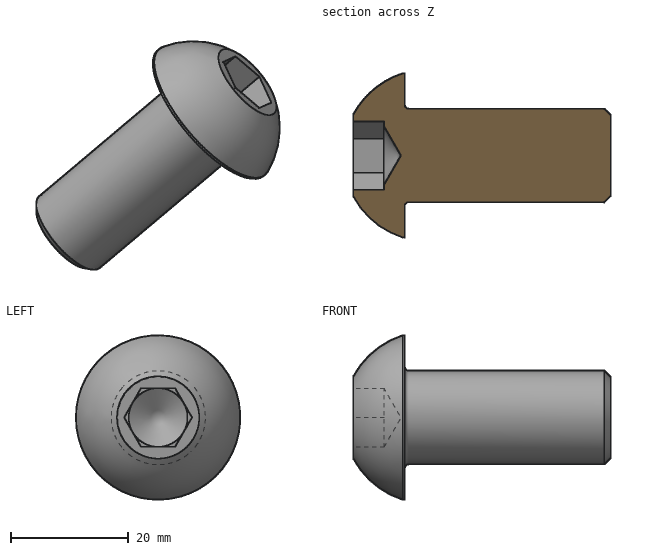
import cadquery as cq
import math

shank_diameter = 16.0
shank_length = 35.0
tip_diameter = 13.835
head_diameter = 28.0
head_height = 8.8
head_face_diameter = 14.0
rim_thickness = 0.4
underhead_fillet = 0.6
socket_across_flats = 10.0
socket_depth = 5.2
socket_cone_angle = 120.0

shank_radius = shank_diameter / 2
head_radius = head_diameter / 2
tip_radius = tip_diameter / 2
tip_chamfer = shank_radius - tip_radius
face_radius = head_face_diameter / 2
face_x = -head_height
rim_x = -rim_thickness

dome_length = head_height - rim_thickness
dome_center_offset = (dome_length**2 + head_radius**2 - face_radius**2) / (2 * dome_length)
dome_radius = math.hypot(dome_center_offset, face_radius)


def dome_radius_at(distance_from_face):
    """Radius of the dome's cross-section at a distance behind the head face."""
    return math.sqrt(dome_radius**2 - (dome_center_offset - distance_from_face) ** 2)


def make_body():
    """Head and shank, revolved about the X axis."""
    dome_mid = dome_length / 2
    fillet_mid = underhead_fillet * (1 - math.sqrt(0.5))
    profile = (
        cq.Workplane("XY")
        .moveTo(face_x, 0)
        .lineTo(face_x, face_radius)
        .threePointArc((face_x + dome_mid, dome_radius_at(dome_mid)), (rim_x, head_radius))
        .lineTo(0, head_radius)
        .lineTo(0, shank_radius + underhead_fillet)
        .threePointArc((fillet_mid, shank_radius + fillet_mid), (underhead_fillet, shank_radius))
        .lineTo(shank_length - tip_chamfer, shank_radius)
        .lineTo(shank_length, tip_radius)
        .lineTo(shank_length, 0)
        .close()
    )
    return profile.revolve(360, (0, 0, 0), (1, 0, 0))


def make_socket():
    """Hexagonal recess with corners on +Y and -Y, ending in a conical drill point."""
    across_corners = socket_across_flats / math.cos(math.radians(30))
    hexagon = (
        cq.Workplane("YZ", origin=(face_x, 0, 0))
        .polygon(6, across_corners)
        .extrude(socket_depth)
    )
    cone_radius = socket_across_flats / 2
    cone_depth = cone_radius / math.tan(math.radians(socket_cone_angle / 2))
    floor_x = face_x + socket_depth
    drill_point = (
        cq.Workplane("XY")
        .polyline([(floor_x, 0), (floor_x, cone_radius), (floor_x + cone_depth, 0)])
        .close()
        .revolve(360, (0, 0, 0), (1, 0, 0))
    )
    return hexagon.union(drill_point)


result = make_body().cut(make_socket())